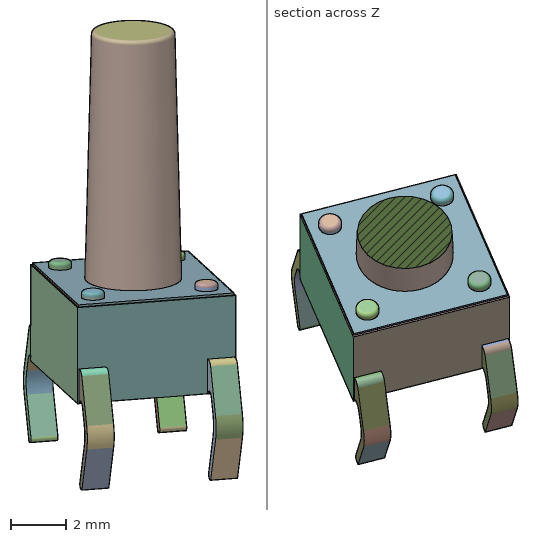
import cadquery as cq
import math

housing_length = 6.15
housing_width = 5.99
housing_bottom = 3.15
housing_top = 6.78

plate_length = 6.0
plate_width = 5.89
plate_top = 6.86

button_base_diameter = 3.53
button_top_diameter = 3.04
button_top = 16.18
button_edge_radius = 0.15

rivet_diameter = 0.84
rivet_top = 7.12
rivet_edge_radius = 0.13
rivet_spacing = 4.29

leg_span = 8.37
leg_width = 1.02
leg_thickness = 0.35
leg_side_gap = 0.05
leg_top = 4.47
leg_angle = math.radians(20.7)
knee_height = 2.14
knee_radius = 1.26
shoulder_radius = 0.28
armpit_radius = 0.28
armpit_top = 3.3
toe_radius = 0.16


def make_housing():
    """Rectangular housing with the slightly smaller cover plate on top."""
    housing = (
        cq.Workplane("XY", origin=(0, 0, housing_bottom))
        .rect(housing_length, housing_width)
        .extrude(housing_top - housing_bottom)
    )
    plate = (
        cq.Workplane("XY", origin=(0, 0, housing_top))
        .rect(plate_length, plate_width)
        .extrude(plate_top - housing_top)
    )
    return housing.union(plate)


def make_button():
    """Conical button with a rounded top edge."""
    return (
        cq.Workplane("XY", origin=(0, 0, plate_top))
        .circle(button_base_diameter / 2)
        .workplane(offset=button_top - plate_top)
        .circle(button_top_diameter / 2)
        .loft(ruled=True)
        .faces(">Z")
        .edges()
        .fillet(button_edge_radius)
    )


def make_rivets():
    """Four round rivet heads with rounded top edges."""
    return (
        cq.Workplane("XY", origin=(0, 0, plate_top))
        .rect(rivet_spacing, rivet_spacing, forConstruction=True)
        .vertices()
        .circle(rivet_diameter / 2)
        .extrude(rivet_top - plate_top)
        .faces(">Z")
        .edges()
        .fillet(rivet_edge_radius)
    )


def make_leg():
    """Leg at the +X, +Y corner: a strip bent at the knee, widened where it meets the housing."""
    root_x = housing_length / 2
    outer_center_x = leg_span / 2 - knee_radius
    inner_center_x = outer_center_x - leg_thickness
    sine = math.sin(leg_angle)
    cosine = math.cos(leg_angle)

    def knee_point(center_x, angle):
        """Point of the knee arc around center_x, at an angle above level."""
        return (center_x + knee_radius * math.cos(angle), knee_height + knee_radius * math.sin(angle))

    def slope_x(center_x, z, inset=0):
        """X at height z of the straight strip face tangent to a knee arc, moved inwards by inset."""
        return center_x + (knee_radius - inset - abs(z - knee_height) * sine) / cosine

    armpit_z = armpit_top - armpit_radius
    armpit_x = slope_x(inner_center_x, armpit_z, armpit_radius)
    armpit_tangent = (armpit_x + armpit_radius * cosine, armpit_z + armpit_radius * sine)
    armpit_end_z = armpit_z + math.sqrt(armpit_radius**2 - (armpit_x - root_x) ** 2)

    profile = (
        cq.Workplane("XZ", origin=(0, housing_width / 2 - leg_side_gap, 0))
        .moveTo(root_x, leg_top)
        .lineTo(slope_x(outer_center_x, leg_top), leg_top)
        .lineTo(*knee_point(outer_center_x, leg_angle))
        .threePointArc(knee_point(outer_center_x, 0), knee_point(outer_center_x, -leg_angle))
        .lineTo(slope_x(outer_center_x, 0), 0)
        .lineTo(slope_x(inner_center_x, 0), 0)
        .lineTo(*knee_point(inner_center_x, -leg_angle))
        .threePointArc(knee_point(inner_center_x, 0), knee_point(inner_center_x, leg_angle))
        .lineTo(*armpit_tangent)
        .threePointArc((armpit_x, armpit_top), (root_x, armpit_end_z))
        .close()
    )
    leg = profile.extrude(leg_width)

    leg_middle_y = housing_width / 2 - leg_side_gap - leg_width / 2
    shoulder = (slope_x(outer_center_x, leg_top), leg_middle_y, leg_top)
    toe = (slope_x(inner_center_x, 0), leg_middle_y, 0)
    leg = leg.edges(cq.selectors.NearestToPointSelector(shoulder)).fillet(shoulder_radius)
    return leg.edges(cq.selectors.NearestToPointSelector(toe)).fillet(toe_radius)


result = make_housing().union(make_button()).union(make_rivets())

corner_leg = make_leg()
opposite_leg = corner_leg.mirror("XZ")
for leg in (corner_leg, opposite_leg):
    result = result.union(leg).union(leg.mirror("YZ"))